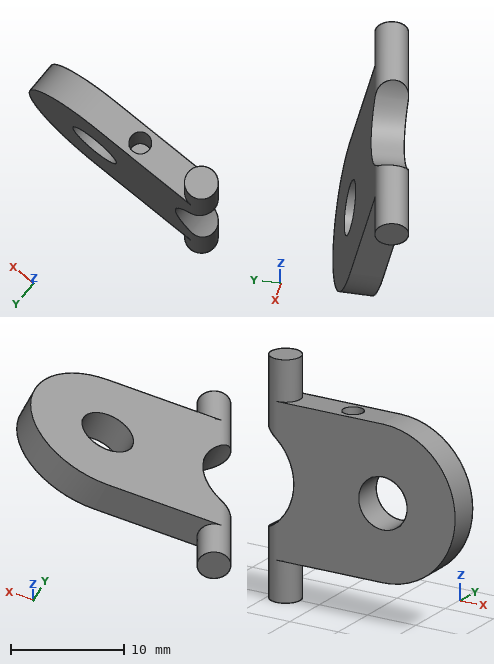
import cadquery as cq

thickness = 3.0
plate_height = 15.0
end_radius = plate_height / 2
eye_x = 11.0
eye_diameter = 5.0

pin_diameter = thickness
pin_length = 23.0

notch_radius = 5.25
notch_x = -3.5

edge_hole_diameter = 2.0
edge_hole_x = 7.0
edge_hole_depth = 5.0


def cylinder_along_y(x, radius):
    """Cylinder through the plate thickness, centred on Y = 0 and Z = 0."""
    return cq.Workplane("XZ", origin=(x, thickness / 2, 0)).circle(radius).extrude(thickness)


def make_plate():
    return (
        cq.Workplane("XZ", origin=(0, thickness / 2, 0))
        .moveTo(0, -end_radius)
        .lineTo(eye_x, -end_radius)
        .threePointArc((eye_x + end_radius, 0), (eye_x, end_radius))
        .lineTo(0, end_radius)
        .close()
        .extrude(thickness)
    )


def make_pin():
    return (
        cq.Workplane("XY", origin=(0, 0, -pin_length / 2))
        .circle(pin_diameter / 2)
        .extrude(pin_length)
    )


def make_edge_hole():
    return (
        cq.Workplane("XY", origin=(edge_hole_x, 0, plate_height / 2))
        .circle(edge_hole_diameter / 2)
        .extrude(-edge_hole_depth)
    )


body = make_plate().union(make_pin())
body = body.cut(cylinder_along_y(eye_x, eye_diameter / 2))
body = body.cut(cylinder_along_y(notch_x, notch_radius))
result = body.cut(make_edge_hole())